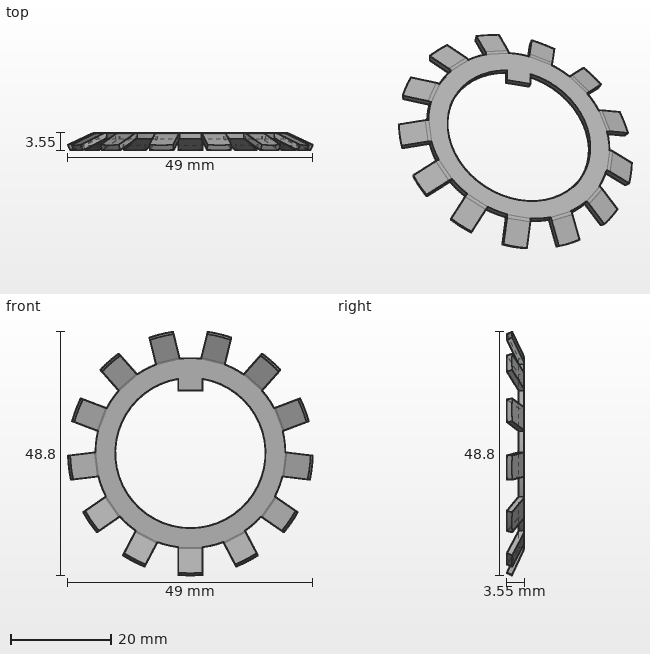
import cadquery as cq
import math

tab_count = 13
tip_radius = 24.5
overall_depth = 3.55
thickness = 1.2
bore_radius = 15.0
tab_width = 4.9
bend_angle = 25.0
inner_bend_radius = 0.5
key_width = 4.9
key_radius = 12.5

bend_sin = math.sin(math.radians(bend_angle))
bend_cos = math.cos(math.radians(bend_angle))
outer_bend_radius = inner_bend_radius + thickness
bend_depth = outer_bend_radius * (1 - bend_cos)
leg_length = (overall_depth - thickness * bend_cos - bend_depth) / bend_sin
root_distance = tip_radius - leg_length * bend_cos - outer_bend_radius * bend_sin

rim_radius = math.hypot(root_distance, tab_width / 2)
band_middle = (bore_radius + root_distance) / 2


def around_axis(solid):
    """One copy of the solid at each tab position around the washer axis."""
    pitch = 360.0 / tab_count
    return [solid.rotate((0, 0, 0), (0, 1, 0), index * pitch) for index in range(tab_count)]


def make_ring():
    """Flat ring, round between the tabs and cut straight across at each tab root."""
    ring = cq.Workplane("XZ").circle(rim_radius).circle(bore_radius).extrude(thickness)
    rim_segment = (
        cq.Workplane("XZ")
        .center(0, -(root_distance + tip_radius) / 2)
        .rect(tab_width, tip_radius - root_distance)
        .extrude(thickness)
    )
    for segment in around_axis(rim_segment):
        ring = ring.cut(segment)
    return ring


def make_key():
    """Flat key reaching into the bore at +Z, anchored inside the ring."""
    return (
        cq.Workplane("XZ")
        .center(0, (key_radius + band_middle) / 2)
        .rect(key_width, band_middle - key_radius)
        .extrude(thickness)
    )


def make_tab():
    """The -Z tab: a flat anchor, a bend towards -Y and a straight leg with a rounded tip."""

    def on_bend(radius, angle):
        """Point (Y, Z) on a bend arc; both arcs are centred in front of the tab root."""
        turn = math.radians(angle)
        return (radius * math.cos(turn) - outer_bend_radius, -root_distance - radius * math.sin(turn))

    def along_leg(point):
        """Point (Y, Z) moved by the full leg length towards the tip."""
        return (point[0] - leg_length * bend_sin, point[1] - leg_length * bend_cos)

    back_leg_start = on_bend(outer_bend_radius, bend_angle)
    front_leg_start = on_bend(inner_bend_radius, bend_angle)
    back_tip = along_leg(back_leg_start)
    blank = (
        cq.Workplane("YZ")
        .moveTo(0, -band_middle)
        .lineTo(0, -root_distance)
        .threePointArc(on_bend(outer_bend_radius, bend_angle / 2), back_leg_start)
        .lineTo(*back_tip)
        .lineTo(*along_leg(front_leg_start))
        .lineTo(*front_leg_start)
        .threePointArc(on_bend(inner_bend_radius, bend_angle / 2), (-thickness, -root_distance))
        .lineTo(-thickness, -band_middle)
        .close()
        .extrude(tab_width / 2, both=True)
    )

    tip_plane = cq.Plane(
        origin=(0, back_tip[0] + tip_radius * bend_sin, back_tip[1] + tip_radius * bend_cos),
        xDir=(1, 0, 0),
        normal=(0, -bend_cos, bend_sin),
    )
    tip_cylinder = cq.Workplane(tip_plane).circle(tip_radius).extrude(tip_radius, both=True)
    return blank.intersect(tip_cylinder)


result = make_ring().union(make_key())
for tab in around_axis(make_tab()):
    result = result.union(tab)